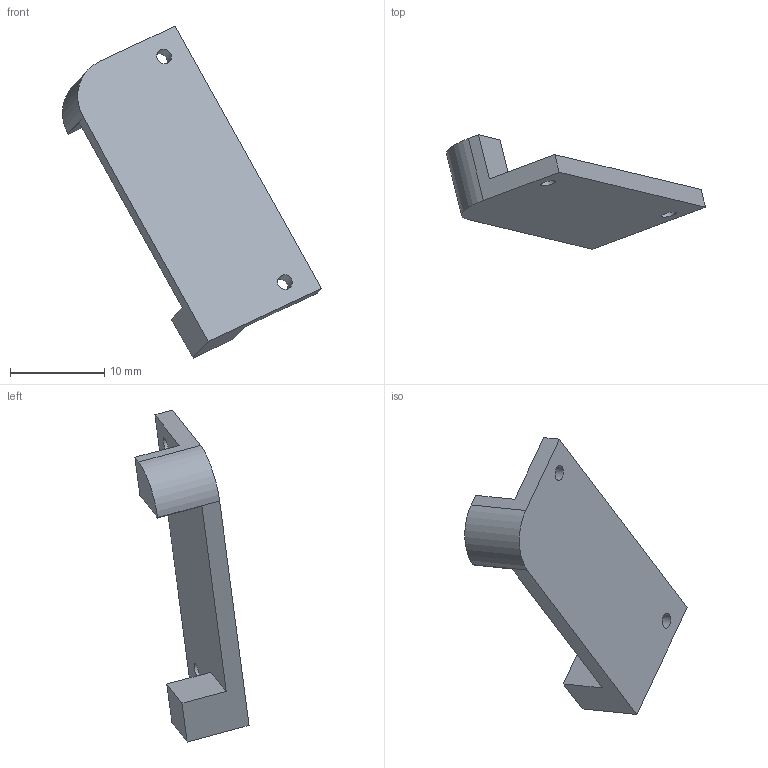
import cadquery as cq
import math

plate_width = 14.0
plate_length = 32.1
plate_thickness = 2.0
end_slope = 1.75
corner_radius = 4.5

foot_depth = 7.0

lower_foot_width = 5.05
lower_foot_length = 4.75
upper_foot_width = 5.9
upper_foot_length = 4.7

hole_diameter = 1.6
hole_centres = [(10.75, 1.95), (11.25, 29.3)]

turn_x = 73.81
turn_y = -25.37
turn_z = 20.87
origin_position = (1.73, -6.06, -15.86)


def end_drop(x):
    """How far the sloping ends have dropped at a distance x from the left edge."""
    return x * math.tan(math.radians(end_slope))


def sloped_block(width, bottom, top, depth):
    """Block from the outer face inwards, with ends parallel to the plate's ends."""
    drop = end_drop(width)
    outline = [(0, bottom), (width, bottom - drop), (width, top - drop), (0, top)]
    return cq.Workplane("XY").polyline(outline).close().extrude(-depth)


def make_body():
    plate = sloped_block(plate_width, 0, plate_length, plate_thickness)
    lower_foot = sloped_block(lower_foot_width, 0, lower_foot_length, foot_depth)
    upper_foot_bottom = plate_length - upper_foot_length
    upper_foot = sloped_block(upper_foot_width, upper_foot_bottom, plate_length, foot_depth)
    return plate.union(lower_foot).union(upper_foot)


def round_upper_left_corner(body):
    corner = cq.selectors.NearestToPointSelector((0, plate_length, -foot_depth / 2))
    return body.edges("|Z").edges(corner).fillet(corner_radius)


def drill_holes(body):
    holes = (
        cq.Workplane("XY")
        .pushPoints(hole_centres)
        .circle(hole_diameter / 2)
        .extrude(-plate_thickness)
    )
    return body.cut(holes)


def place(body):
    frame_origin = (0, 0, 0)
    return (
        body.rotate(frame_origin, (1, 0, 0), turn_x)
        .rotate(frame_origin, (0, 1, 0), turn_y)
        .rotate(frame_origin, (0, 0, 1), turn_z)
        .translate(origin_position)
    )


result = place(drill_holes(round_upper_left_corner(make_body())))